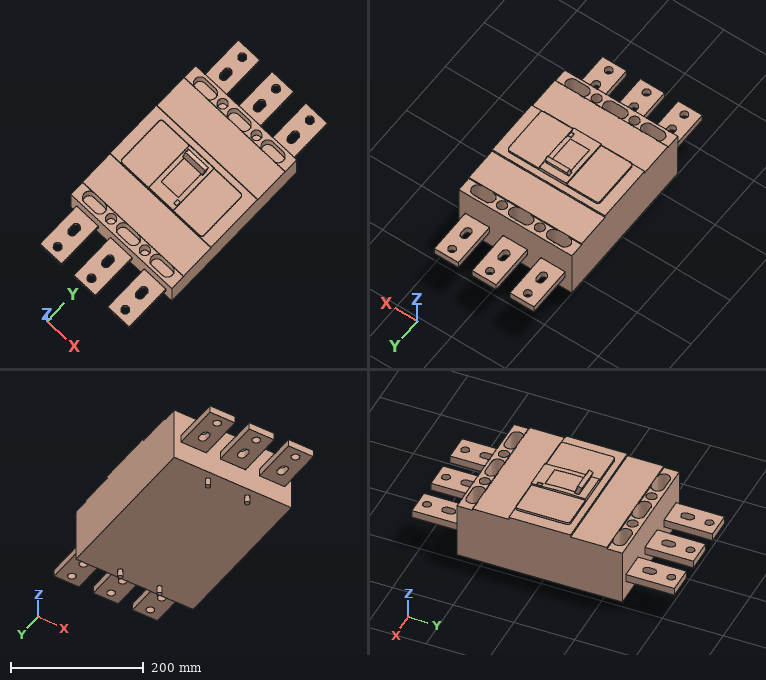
import cadquery as cq
import math


case_width = 210.0
case_length = 273.0
end_height = 96.0
shoulder_height = 98.7
shoulder_length = 221.5
deck_height = 102.5
deck_length = 101.8

plate_width = 169.7
plate_top = 106.5
plate_back = 40.0
plate_front = -50.0
plate_corner_radius = 5.0

strip_width = 51.0
strip_top = 109.0
dome_length = 63.2
dome_rise = 1.5
cover_width = 35.5
cover_front = -30.5
cover_step = 0.2

toggle_width = 41.0
toggle_thickness = 7.5
toggle_tilt = 20.0
toggle_base_y = 23.5
toggle_tip_height = 125.5

button_width = 6.0
button_length = 8.0
button_depth = 1.0
button_x = 21.5
button_y = -37.2

pole_pitch = 70.0
overall_length = 433.0
bar_width = 45.0
bar_thickness = 13.5
front_bar_bottom = 37.0
back_bar_bottom = 31.5
bar_hole_diameter = 13.0
bar_hole_y = 201.5
bar_slot_length = 21.2
bar_slot_y = 165.5

access_slot_length = 42.0
access_slot_width = 20.5
access_slot_depth = 34.5

screw_y = 121.5
head_diameter = 16.5
head_height = 8.5
head_edge_radius = 4.8
head_seat_height = 52.0
shank_diameter = 8.0
shank_projection = 13.5

pole_positions = [-pole_pitch, 0, pole_pitch]
screw_points = [(x, y) for x in (-pole_pitch / 2, pole_pitch / 2) for y in (-screw_y, screw_y)]


def block(width, y_min, y_max, z_min, z_max):
    """Box centred on X = 0 between the given Y and Z limits."""
    base = cq.Workplane("XY", origin=(0, (y_min + y_max) / 2, z_min))
    return base.rect(width, y_max - y_min).extrude(z_max - z_min)


def make_stepped_case():
    ends = block(case_width, -case_length / 2, case_length / 2, 0, end_height)
    shoulders = block(case_width, -shoulder_length / 2, shoulder_length / 2, 0, shoulder_height)
    deck = block(case_width, -deck_length / 2, deck_length / 2, 0, deck_height)
    return ends.union(shoulders).union(deck)


def make_plate():
    plate = block(plate_width, plate_front, plate_back, deck_height, plate_top)
    return plate.edges("|Z").fillet(plate_corner_radius)


def make_strip():
    half_dome = dome_length / 2
    profile = (
        cq.Workplane("YZ")
        .moveTo(plate_front, deck_height)
        .lineTo(plate_front, strip_top)
        .lineTo(-half_dome, strip_top)
        .threePointArc((0, strip_top + dome_rise), (half_dome, strip_top))
        .lineTo(plate_back, strip_top)
        .lineTo(plate_back, deck_height)
        .close()
    )
    return profile.extrude(strip_width / 2, both=True)


def make_toggle_cover():
    """Curved cover concentric with the dome, from the toggle to near the front of the dome."""
    dome_radius = ((dome_length / 2) ** 2 + dome_rise**2) / (2 * dome_rise)
    dome_centre_z = strip_top + dome_rise - dome_radius
    cover_radius = dome_radius + cover_step

    def surface_z(y):
        return dome_centre_z + math.sqrt(cover_radius**2 - y**2)

    profile = (
        cq.Workplane("YZ")
        .moveTo(cover_front, plate_top)
        .lineTo(cover_front, surface_z(cover_front))
        .threePointArc((0, surface_z(0)), (toggle_base_y, surface_z(toggle_base_y)))
        .lineTo(toggle_base_y, plate_top)
        .close()
    )
    return profile.extrude(cover_width / 2, both=True)


def make_toggle():
    tilt = math.radians(toggle_tilt)
    base_z = strip_top + dome_rise
    highest_corner_rise = toggle_thickness / 2 * math.sin(tilt)
    length = (toggle_tip_height - base_z - highest_corner_rise) / math.cos(tilt)
    root_depth = strip_top - plate_top
    lever = block(toggle_width, -toggle_thickness / 2, toggle_thickness / 2, -root_depth, length)
    return lever.rotate((0, 0, 0), (1, 0, 0), -toggle_tilt).translate((0, toggle_base_y, base_z))


def make_terminal_bar(pole_x, side, bottom):
    """Bar on one pole; side is +1 for the +Y end and -1 for the -Y end."""
    bar_length = (overall_length - case_length) / 2
    bar_y = side * (overall_length - bar_length) / 2
    return (
        cq.Workplane("XY", origin=(pole_x, 0, bottom))
        .center(0, bar_y)
        .rect(bar_width, bar_length)
        .extrude(bar_thickness)
        .cut(
            cq.Workplane("XY", origin=(pole_x, side * bar_hole_y, bottom))
            .circle(bar_hole_diameter / 2)
            .extrude(bar_thickness)
        )
        .cut(
            cq.Workplane("XY", origin=(pole_x, side * bar_slot_y, bottom))
            .slot2D(bar_slot_length, bar_hole_diameter, 90)
            .extrude(bar_thickness)
        )
    )


def make_access_slots():
    """Slots in the end ledges, one long side of each flush with the shoulder step."""
    slot_y = (shoulder_length + access_slot_width) / 2
    slot_points = [(x, y) for x in pole_positions for y in (-slot_y, slot_y)]
    return (
        cq.Workplane("XY", origin=(0, 0, end_height - access_slot_depth))
        .pushPoints(slot_points)
        .slot2D(access_slot_length, access_slot_width)
        .extrude(access_slot_depth)
    )


def make_screw_holes():
    shank_holes = (
        cq.Workplane("XY").pushPoints(screw_points).circle(shank_diameter / 2).extrude(head_seat_height)
    )
    head_holes = (
        cq.Workplane("XY", origin=(0, 0, head_seat_height))
        .pushPoints(screw_points)
        .circle(head_diameter / 2)
        .extrude(end_height - head_seat_height)
    )
    return shank_holes.union(head_holes)


def make_button_recess():
    return (
        cq.Workplane("XY", origin=(button_x, button_y, strip_top - button_depth))
        .rect(button_width, button_length)
        .extrude(button_depth)
    )


def make_housing():
    housing = make_stepped_case().union(make_plate()).union(make_strip())
    housing = housing.union(make_toggle_cover()).union(make_toggle())
    for pole_x in pole_positions:
        housing = housing.union(make_terminal_bar(pole_x, -1, front_bar_bottom))
        housing = housing.union(make_terminal_bar(pole_x, 1, back_bar_bottom))
    return housing.cut(make_access_slots()).cut(make_screw_holes()).cut(make_button_recess())


def make_screw(x, y):
    head = (
        cq.Workplane("XY", origin=(x, y, head_seat_height))
        .circle(head_diameter / 2)
        .extrude(head_height)
        .faces(">Z")
        .edges()
        .fillet(head_edge_radius)
    )
    shank = (
        cq.Workplane("XY", origin=(x, y, -shank_projection))
        .circle(shank_diameter / 2)
        .extrude(shank_projection + head_seat_height)
    )
    return head.union(shank)


housing = make_housing()
screws = [make_screw(x, y).val() for x, y in screw_points]

result = cq.Compound.makeCompound([housing.val(), *screws])